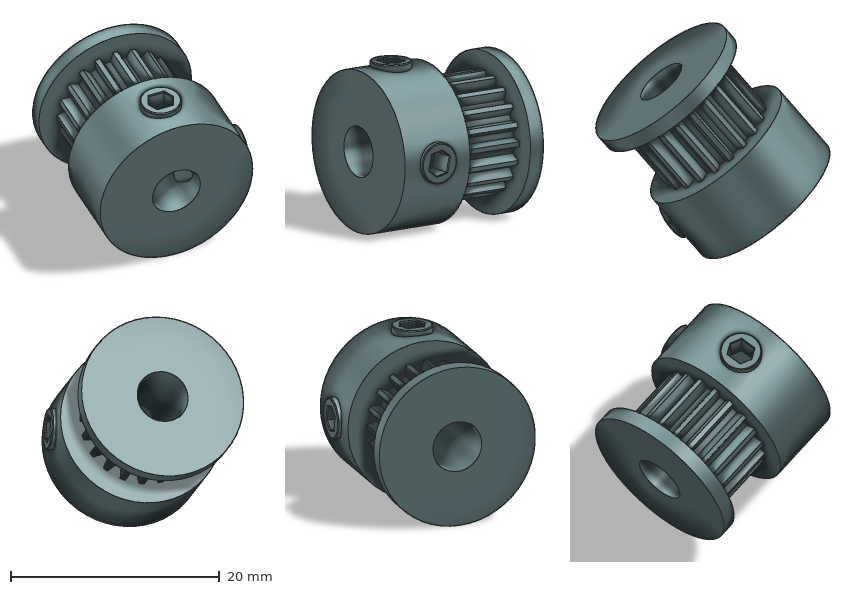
import cadquery as cq
import math

OUTER_DIAMETER = 16.0
OUTER_RADIUS = OUTER_DIAMETER / 2
BORE_DIAMETER = 5.01
BORE_RADIUS = BORE_DIAMETER / 2
FLANGE_THICKNESS = 1.5
BELT_WIDTH = 7.0
HUB_LENGTH = 7.5
HUB_START = FLANGE_THICKNESS + BELT_WIDTH

TOOTH_COUNT = 20
TIP_RADIUS = 6.1
TOOTH_DEPTH = 1.0
ROOT_RADIUS = TIP_RADIUS - TOOTH_DEPTH
TIP_WIDTH = 0.5
ROOT_WIDTH = 0.61
TOOTH_ANGLE = 2 * math.pi / TOOTH_COUNT

SCREW_DIAMETER = 4.0
SCREW_RADIUS = SCREW_DIAMETER / 2
SCREW_LENGTH = 5.01
SCREW_CHAMFER = 0.1
SCREW_X = HUB_START + HUB_LENGTH / 2
TOP_SCREW_END = 8.53
SIDE_SCREW_END = 8.36
SIDE_SCREW_TURN = -12.2

SOCKET_WIDTH = 2.08
SOCKET_HEIGHT = 2.55
SOCKET_SIDE = 1.59
SOCKET_DEPTH = 2.5
SOCKET_CHAMFER_DEPTH = 0.13
SOCKET_CHAMFER_WIDTH = 0.07

SCREW_PLACES = [
    (0, TOP_SCREW_END, 0),
    (-90, SIDE_SCREW_END, SIDE_SCREW_TURN),
]


def polar_point(radius, sideways, angle):
    """Point at the given distance along a ray, shifted sideways from it."""
    return (
        radius * math.cos(angle) - sideways * math.sin(angle),
        radius * math.sin(angle) + sideways * math.cos(angle),
    )


def tooth_outline():
    """Tip and following root of every tooth, in order round the axis."""
    points = []
    for index in range(TOOTH_COUNT):
        tip_angle = index * TOOTH_ANGLE
        root_angle = tip_angle + TOOTH_ANGLE / 2
        points.append(polar_point(TIP_RADIUS, -TIP_WIDTH / 2, tip_angle))
        points.append(polar_point(TIP_RADIUS, TIP_WIDTH / 2, tip_angle))
        points.append(polar_point(ROOT_RADIUS, -ROOT_WIDTH / 2, root_angle))
        points.append(polar_point(ROOT_RADIUS, ROOT_WIDTH / 2, root_angle))
    return points


def place_on_hub(shape, tilt, turn):
    """Move a shape built along +Z at the origin to its screw position."""
    turned = shape.rotate((0, 0, 0), (0, 0, 1), turn)
    tilted = turned.rotate((0, 0, 0), (1, 0, 0), tilt)
    return tilted.translate((SCREW_X, 0, 0))


def make_pulley():
    """Flange, teeth and hub in one piece, with the bore and screw holes."""
    flange = cq.Workplane("YZ").circle(OUTER_RADIUS).extrude(FLANGE_THICKNESS)
    teeth = (
        cq.Workplane("YZ", origin=(FLANGE_THICKNESS, 0, 0))
        .polyline(tooth_outline())
        .close()
        .extrude(BELT_WIDTH)
    )
    hub = cq.Workplane("YZ", origin=(HUB_START, 0, 0)).circle(OUTER_RADIUS).extrude(HUB_LENGTH)
    bore = cq.Workplane("YZ").circle(BORE_RADIUS).extrude(HUB_START + HUB_LENGTH)
    pulley = flange.union(teeth).union(hub).cut(bore)

    screw_hole = cq.Workplane("XY").circle(SCREW_RADIUS).extrude(OUTER_DIAMETER)
    for tilt, _, turn in SCREW_PLACES:
        pulley = pulley.cut(place_on_hub(screw_hole, tilt, turn))
    return pulley


def socket_outline():
    """Six-sided socket outline, slightly elongated along Y, with two sides facing along X."""
    half_width = SOCKET_WIDTH / 2
    half_side = SOCKET_SIDE / 2
    half_height = SOCKET_HEIGHT / 2
    return [
        (half_width, half_side),
        (0, half_height),
        (-half_width, half_side),
        (-half_width, -half_side),
        (0, -half_height),
        (half_width, -half_side),
    ]


def make_screw(outer_end):
    """Set screw along +Z with a six-sided socket in its outer end."""
    body = (
        cq.Workplane("XY", origin=(0, 0, outer_end - SCREW_LENGTH))
        .circle(SCREW_RADIUS)
        .extrude(SCREW_LENGTH)
        .faces(">Z")
        .chamfer(SCREW_CHAMFER)
    )
    socket = (
        cq.Workplane("XY", origin=(0, 0, outer_end))
        .polyline(socket_outline())
        .close()
        .extrude(-SOCKET_DEPTH)
    )
    socketed = body.cut(socket)
    mouth_edges = socketed.faces(">Z").edges("not %CIRCLE")
    return mouth_edges.chamfer(SOCKET_CHAMFER_WIDTH, SOCKET_CHAMFER_DEPTH)


pulley = make_pulley()

screws = []
for tilt, outer_end, turn in SCREW_PLACES:
    screws.append(place_on_hub(make_screw(outer_end), tilt, turn).val())

result = cq.Compound.makeCompound([pulley.val(), *screws])